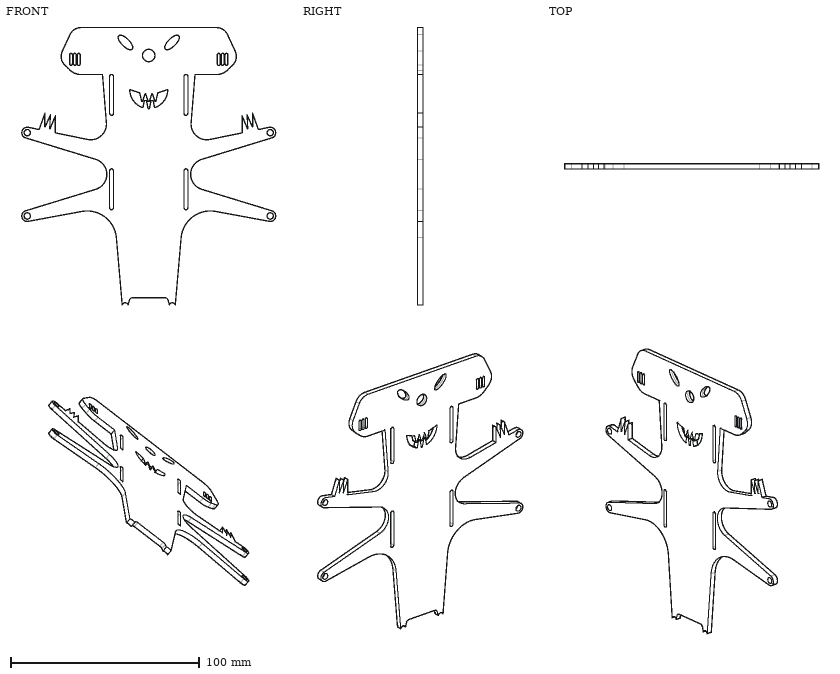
import cadquery as cq
import math


THICKNESS = 3.0
HEIGHT = 147.5
WIDTH = 135.0
HEAD_SHOULDER_X = 40.1
HEAD_CHEEK = (48.0, 130.7)
HEAD_JAW_X = 39.4
HEAD_BOTTOM_Z = 122.4
HEAD_ROUND = 6.5
JAW_ROUND = 8.3
NECK_X = 24.6

ARM_MID_Z = 69.5
ARM_HOLE_RISE = 22.1
ARM_TIP_RADIUS = 3.0
ARM_HOLE_X = WIDTH / 2 - ARM_TIP_RADIUS
ARM_HOLE_RADIUS = 1.6
UPPER_HOLE = (ARM_HOLE_X, ARM_MID_Z + ARM_HOLE_RISE)
LOWER_HOLE = (ARM_HOLE_X, ARM_MID_Z - ARM_HOLE_RISE)
UPPER_ARMPIT = (21.7, 85.8)
ARM_CROTCH = (2.4, ARM_MID_Z)
LOWER_ARMPIT = (18.7, 52.8)
ARM_ROUND = 8.3
LOWER_ARMPIT_ROUND = 15.5

CLAW_FRONT_X = 58.3
CLAW_BACK_X = 49.5
CLAW_POINTS = [(55.2, 102.0), (55.2, 94.5), (52.2, 101.2), (52.5, 93.6), (CLAW_BACK_X, 100.7)]

PRONG_OUTER_X = 14.2
PRONG_INNER_X = 10.9
PRONG_NOTCH_DEPTH = 1.2
TAIL_CORNER = (9.9, 3.8)
TAIL_ROUND = 1.5

STRAP_SLOT_X = 19.8
STRAP_SLOT_CENTRES_Z = (111.6, 61.5)
STRAP_SLOT_LENGTH = 21.7
STRAP_SLOT_WIDTH = 1.9

VENT_COUNT = 3
VENT_CENTRE = (39.2, 130.5)
VENT_PITCH = 2.0
VENT_LENGTH = 6.3
VENT_WIDTH = 1.3

NOSE_Z = 132.6
NOSE_RADIUS = 3.2
EYE_CENTRE = (12.4, 139.5)
EYE_HALF_LENGTH = 5.0
EYE_HALF_WIDTH = 2.0
EYE_TILT = 45.0
MOUTH_Z = 114.5
MOUTH_RADIUS = 10.0
UPPER_TEETH = [(4.9, 112.7), (3.8, 108.2), (3.2, 108.2), (1.8, 112.5), (0.5, 108.2)]
LOWER_TEETH_X = 1.8
LOWER_TOOTH_TOP_Z = 108.7
LOWER_TOOTH_TOP_WIDTH = 1.2
LOWER_TOOTH_BASE_WIDTH = 3.0


def tangent_point(start, centre, radius, side):
    """Point where a line from start touches a circle; side is +1 (left of the line) or -1 (right)."""
    dx = centre[0] - start[0]
    dz = centre[1] - start[1]
    swing = math.acos(radius / math.hypot(dx, dz))
    angle = math.atan2(-dz, -dx) - side * swing
    return (centre[0] + radius * math.cos(angle), centre[1] + radius * math.sin(angle))


def point_on_line(start, end, x):
    """Point at a given x on the line through start and end."""
    return (x, start[1] + (end[1] - start[1]) * (x - start[0]) / (end[0] - start[0]))


def add_rounded_corner(wire, before, corner, after, radius):
    """Draw up to a corner and round it with an arc tangent to both of its sides."""
    vertex = cq.Vector(*corner)
    side_in = (cq.Vector(*before) - vertex).normalized()
    side_out = (cq.Vector(*after) - vertex).normalized()
    half_angle = side_in.getAngle(side_out) / 2
    setback = radius / math.tan(half_angle)
    arc_depth = radius / math.sin(half_angle) - radius
    arc_start = vertex + side_in * setback
    arc_middle = vertex + (side_in + side_out).normalized() * arc_depth
    arc_end = vertex + side_out * setback
    wire = wire.lineTo(arc_start.x, arc_start.y)
    return wire.threePointArc((arc_middle.x, arc_middle.y), (arc_end.x, arc_end.y))


def extrude_plate(wire):
    return wire.extrude(THICKNESS / 2, both=True)


def both_sides(half):
    return half.union(half.mirror("YZ"))


def half_plate():
    upper_tip_top = tangent_point(UPPER_ARMPIT, UPPER_HOLE, ARM_TIP_RADIUS, 1)
    upper_tip_bottom = tangent_point(ARM_CROTCH, UPPER_HOLE, ARM_TIP_RADIUS, -1)
    lower_tip_top = tangent_point(ARM_CROTCH, LOWER_HOLE, ARM_TIP_RADIUS, 1)
    lower_tip_bottom = tangent_point(LOWER_ARMPIT, LOWER_HOLE, ARM_TIP_RADIUS, -1)
    claw_back = point_on_line(UPPER_ARMPIT, upper_tip_top, CLAW_BACK_X)
    claw_front = point_on_line(UPPER_ARMPIT, upper_tip_top, CLAW_FRONT_X)
    prong_inner = (PRONG_INNER_X, 0)
    prong_outer = (PRONG_OUTER_X, 0)
    notch_top = ((PRONG_INNER_X + PRONG_OUTER_X) / 2, PRONG_NOTCH_DEPTH)

    corners = [
        ((0, HEIGHT), 0),
        ((HEAD_SHOULDER_X, HEIGHT), HEAD_ROUND),
        (HEAD_CHEEK, HEAD_ROUND),
        ((HEAD_JAW_X, HEAD_BOTTOM_Z), JAW_ROUND),
        ((NECK_X, HEAD_BOTTOM_Z), 0),
        (UPPER_ARMPIT, ARM_ROUND),
        (claw_back, 0),
        *[(point, 0) for point in reversed(CLAW_POINTS)],
        (claw_front, 0),
        (upper_tip_top, 0),
        (upper_tip_bottom, 0),
        (ARM_CROTCH, ARM_ROUND),
        (lower_tip_top, 0),
        (lower_tip_bottom, 0),
        (LOWER_ARMPIT, LOWER_ARMPIT_ROUND),
        (prong_outer, 0),
    ]
    points = [point for point, _ in corners]
    wire = cq.Workplane("XZ").moveTo(*points[0])
    for i in range(1, len(corners)):
        corner, radius = corners[i]
        if radius > 0:
            wire = add_rounded_corner(wire, points[i - 1], corner, points[i + 1], radius)
        else:
            wire = wire.lineTo(*corner)
    wire = wire.threePointArc(notch_top, prong_inner)
    tail_centre = (0, TAIL_CORNER[1])
    wire = add_rounded_corner(wire, prong_inner, TAIL_CORNER, tail_centre, TAIL_ROUND)
    plate = extrude_plate(wire.lineTo(*tail_centre).close())

    arm_holes = [UPPER_HOLE, LOWER_HOLE]
    arm_tips = cq.Workplane("XZ").pushPoints(arm_holes).circle(ARM_TIP_RADIUS)
    drills = cq.Workplane("XZ").pushPoints(arm_holes).circle(ARM_HOLE_RADIUS)
    return plate.union(extrude_plate(arm_tips)).cut(extrude_plate(drills))


def strap_slots():
    centres = [(STRAP_SLOT_X, z) for z in STRAP_SLOT_CENTRES_Z]
    slots = cq.Workplane("XZ").pushPoints(centres).slot2D(STRAP_SLOT_LENGTH, STRAP_SLOT_WIDTH, 90)
    return extrude_plate(slots)


def vent_slots():
    slots = cq.Workplane("XZ").center(*VENT_CENTRE).rarray(VENT_PITCH, 1.5, VENT_COUNT, 1)
    return extrude_plate(slots.slot2D(VENT_LENGTH, VENT_WIDTH, 90))


def eye():
    outline = cq.Workplane("XZ").center(*EYE_CENTRE)
    return extrude_plate(outline.ellipse(EYE_HALF_LENGTH, EYE_HALF_WIDTH, rotation_angle=EYE_TILT))


def nose():
    return extrude_plate(cq.Workplane("XZ").center(0, NOSE_Z).circle(NOSE_RADIUS))


def mouth():
    """Half disc whose top edge carries the upper teeth, less the two lower teeth."""
    right_corner = (MOUTH_RADIUS, MOUTH_Z)
    left_corner = (-MOUTH_RADIUS, MOUTH_Z)
    left_teeth = [(-x, z) for x, z in UPPER_TEETH]
    top_edge = [left_corner, *left_teeth, *reversed(UPPER_TEETH), right_corner]
    outline = cq.Workplane("XZ").polyline(top_edge)
    opening = extrude_plate(outline.threePointArc((0, MOUTH_Z - MOUTH_RADIUS), left_corner).close())

    base_z = MOUTH_Z - MOUTH_RADIUS
    half_top = LOWER_TOOTH_TOP_WIDTH / 2
    half_base = LOWER_TOOTH_BASE_WIDTH / 2
    tooth = cq.Workplane("XZ").polyline([
        (LOWER_TEETH_X - half_base, base_z),
        (LOWER_TEETH_X + half_base, base_z),
        (LOWER_TEETH_X + half_top, LOWER_TOOTH_TOP_Z),
        (LOWER_TEETH_X - half_top, LOWER_TOOTH_TOP_Z),
    ])
    return opening.cut(both_sides(extrude_plate(tooth.close())))


half = half_plate().cut(strap_slots()).cut(vent_slots()).cut(eye())
result = both_sides(half).cut(nose()).cut(mouth())